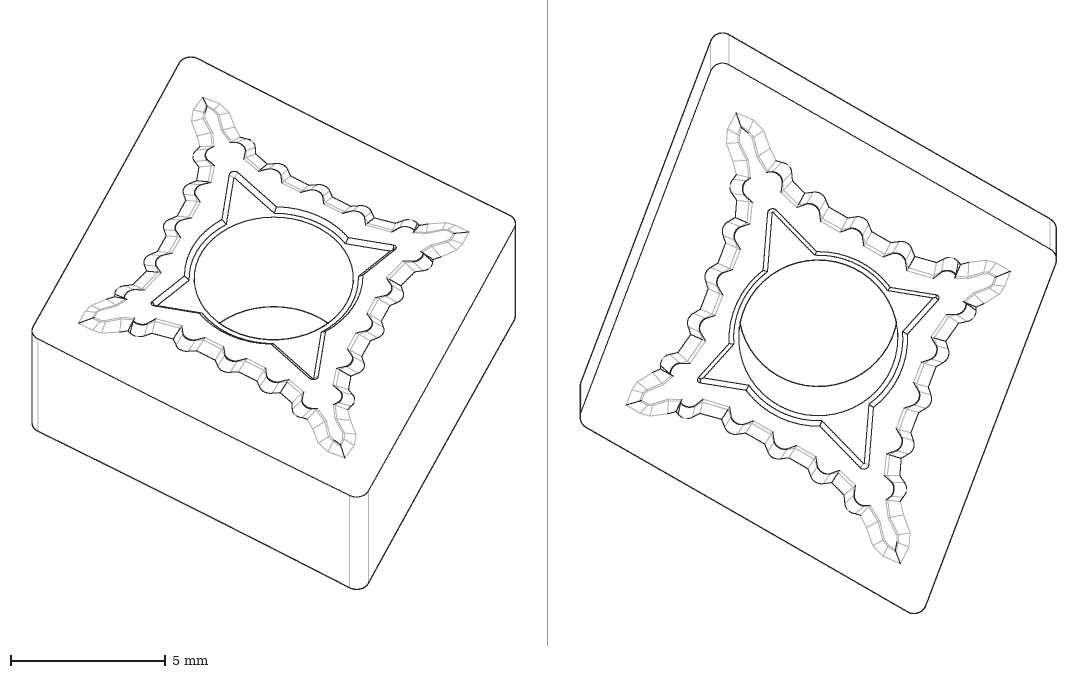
import cadquery as cq
import math


WIDTH = 12.7
LENGTH = 14.98
RAKE = 10.0
THICKNESS = 4.85
BORE_DIAMETER = 5.15

CORNER_DROP = 0.072
DISH_DEPTH = 0.1
DISH_OVERSIZE = 1.2

WALL_RUN = 0.4
LIP_DROP = 0.01
LIP_RUN = 0.1
ARM_LIP_RUN = 0.06
BUMP_LIP_RUN = 0.01
BUMP_REACH = 0.25
BUMP_SIDE_REACH = 0.16
BUMP_HALF_CHORD = 0.24
BUMP_HALF_FOOT = 0.45
BUMP_PITCH = 1.62

MIDDLE_BUMP = (-4.16, 0.73)
ACUTE_BUMP = (-4.43, 3.72, 16.0)
OBTUSE_BUMP = (-4.48, -2.38, -19.0)

ACUTE_TIP = (7.92, 7.49)
OBTUSE_TIP = (6.6, 6.14)

ACUTE_ARM = [
    ((-5.17, 5.47), (-4.8, 5.42)),
    ((-5.03, 5.0), (-4.7, 5.18)),
    ((-4.63, 4.52), (-4.24, 4.73)),
    ((-4.37, 4.15), (-3.97, 4.22)),
]
OBTUSE_ARM = [
    ((-4.43, -2.74), (-4.03, -2.79)),
    ((-4.63, -2.94), (-4.22, -3.15)),
    ((-4.99, -3.4), (-4.61, -3.5)),
    ((-5.06, -3.72), (-4.7, -3.65)),
]

RECESS_DEPTH = 0.15
RECESS_WALL_ANGLE = 45.0
RECESS_RADIUS = 2.89
ACUTE_POINT = (4.81, 24.0, 0.16)
OBTUSE_POINT = (4.25, 29.0, 0.1)

ACUTE_DIRECTION = 90.0 + (90.0 - RAKE) / 2
OBTUSE_DIRECTION = ACUTE_DIRECTION + 90.0
RAKE_TANGENT = math.tan(math.radians(RAKE))
HALF_SIDE = WIDTH / 2 / math.cos(math.radians(RAKE))
SKEW = WIDTH / 2 * RAKE_TANGENT
NOSE_RADIUS = (HALF_SIDE + SKEW - LENGTH / 2) / (RAKE_TANGENT + 1 / math.cos(math.radians(RAKE)) - 1)
HALF_NOSE_ANGLE = math.radians((90.0 - RAKE) / 2)
ACUTE_REACH = 2 * HALF_SIDE * math.cos(HALF_NOSE_ANGLE)
OBTUSE_REACH = 2 * HALF_SIDE * math.sin(HALF_NOSE_ANGLE)
TOP = THICKNESS / 2
CORNER_TOP = TOP - CORNER_DROP
SHOULDER = TOP - LIP_DROP
WALL_BOTTOM = CORNER_TOP - DISH_DEPTH - LIP_DROP


def body():
    half = WIDTH / 2
    corners = [
        (-half, HALF_SIDE + SKEW),
        (-half, SKEW - HALF_SIDE),
        (half, -HALF_SIDE - SKEW),
        (half, HALF_SIDE - SKEW),
    ]
    blank = cq.Workplane("XY").workplane(offset=-CORNER_TOP).polyline(corners).close()
    return blank.extrude(2 * CORNER_TOP).edges("|Z").fillet(NOSE_RADIUS)


def dish_height(x, y):
    """Height of the dished face; it reaches CORNER_TOP at all four sharp corners."""
    angle = math.radians(ACUTE_DIRECTION)
    along_acute = (x * math.cos(angle) + y * math.sin(angle)) / ACUTE_REACH
    along_obtuse = (y * math.cos(angle) - x * math.sin(angle)) / OBTUSE_REACH
    return CORNER_TOP - DISH_DEPTH * (1 - along_acute**2 - along_obtuse**2)


def dish():
    """Round shallow bowl of material to remove, squeezed to the proportions of the diagonals."""
    def bowl_point(share):
        return (share * ACUTE_REACH, CORNER_TOP - DISH_DEPTH * (1 - share**2))

    rim = bowl_point(DISH_OVERSIZE)
    bowl = (
        cq.Workplane("XZ").moveTo(*bowl_point(0))
        .threePointArc(bowl_point(DISH_OVERSIZE / 2), rim)
        .lineTo(0, rim[1]).close()
        .revolve(360, (0, 0), (0, 1))
    )
    squeeze = cq.Matrix([[1, 0, 0, 0], [0, OBTUSE_REACH / ACUTE_REACH, 0, 0], [0, 0, 1, 0]])
    oval_bowl = cq.Workplane(bowl.val().transformGeometry(squeeze))
    return oval_bowl.rotate((0, 0, 0), (0, 0, 1), ACUTE_DIRECTION)


def wall_point(foot, shoulder, lip_run):
    """Points at the wall bottom, shoulder and plateau levels; the foot lies on the dish."""
    dx = foot[0] - shoulder[0]
    dy = foot[1] - shoulder[1]
    down = (SHOULDER - WALL_BOTTOM) / (SHOULDER - dish_height(*foot))
    up = -lip_run / math.hypot(dx, dy)
    return [(shoulder[0] + k * dx, shoulder[1] + k * dy) for k in (down, 0, up)]


def tip_point(distances, direction):
    cosine = math.cos(math.radians(direction))
    sine = math.sin(math.radians(direction))
    foot, shoulder = [(distance * cosine, distance * sine) for distance in distances]
    return wall_point(foot, shoulder, ARM_LIP_RUN)


def bump(x, y, tilt):
    """Wall pieces of one bump: a foot point, the three points of its arc, a foot point."""
    inward = (math.cos(math.radians(tilt)), math.sin(math.radians(tilt)))

    def place(depth, along, lip_run):
        foot = (x + depth * inward[0] + along * inward[1], y + depth * inward[1] - along * inward[0])
        shoulder = (foot[0] + WALL_RUN * inward[0], foot[1] + WALL_RUN * inward[1])
        return wall_point(foot, shoulder, lip_run)

    arc_depth = BUMP_REACH - BUMP_SIDE_REACH
    arc = [
        place(arc_depth, -BUMP_HALF_CHORD, BUMP_LIP_RUN),
        place(0, 0, BUMP_LIP_RUN),
        place(arc_depth, BUMP_HALF_CHORD, BUMP_LIP_RUN),
    ]
    foot_in = place(BUMP_REACH, -BUMP_HALF_FOOT, LIP_RUN)
    foot_out = place(BUMP_REACH, BUMP_HALF_FOOT, LIP_RUN)
    return [[foot_in], arc, [foot_out]]


def left_wall():
    """Stretches of the left wall, from the acute tip down to the obtuse tip.

    A stretch of three points is an arc; one of two points is a straight line.
    """
    pieces = [[tip_point(ACUTE_TIP, ACUTE_DIRECTION)]]
    pieces += [[wall_point(foot, shoulder, ARM_LIP_RUN)] for foot, shoulder in ACUTE_ARM]
    pieces += bump(*ACUTE_BUMP)[1:]
    for step in (1, 0, -1):
        pieces += bump(MIDDLE_BUMP[0], MIDDLE_BUMP[1] + step * BUMP_PITCH, 0)
    pieces += bump(*OBTUSE_BUMP)[:-1]
    pieces += [[wall_point(foot, shoulder, ARM_LIP_RUN)] for foot, shoulder in OBTUSE_ARM]
    pieces.append([tip_point(OBTUSE_TIP, OBTUSE_DIRECTION)])

    stretches = []
    for before, after in zip(pieces, pieces[1:]):
        stretches.append([before[-1], after[0]])
        if len(after) == 3:
            stretches.append(after)
    return stretches


def mirrored_point(point):
    """The point mirrored in the diagonal through the acute noses."""
    cosine = math.cos(math.radians(2 * ACUTE_DIRECTION))
    sine = math.sin(math.radians(2 * ACUTE_DIRECTION))
    return (cosine * point[0] + sine * point[1], sine * point[0] - cosine * point[1])


def plateau_outline(level, z):
    """Closed outline of the plateau at one of the three wall levels."""
    left = [[point[level] for point in stretch] for stretch in left_wall()]
    upper = [[mirrored_point(point) for point in reversed(stretch)] for stretch in reversed(left)]
    half = upper + left
    other_half = [[(-x, -y) for x, y in stretch] for stretch in half]
    edges = []
    for stretch in half + other_half:
        points = [cq.Vector(x, y, z) for x, y in stretch]
        if len(points) == 3:
            edges.append(cq.Edge.makeThreePointArc(*points))
        else:
            edges.append(cq.Edge.makeLine(*points))
    return cq.Wire.assembleEdges(edges)


def plateau():
    bottom = plateau_outline(0, WALL_BOTTOM)
    shoulder = plateau_outline(1, SHOULDER)
    crown = plateau_outline(2, TOP)
    return cq.Workplane(cq.Solid.makeLoft([bottom, shoulder, crown], True))


def recess_point(reach, half_angle, tip_radius, direction):
    """Pointed arm of the recess: a kite from the axis to the rounded tip, narrowing downwards."""
    half_width = reach * math.tan(math.radians(half_angle)) / 2
    outline = [(0, 0), (reach / 2, -half_width), (reach, 0), (reach / 2, half_width)]
    straight = cq.Workplane("XY").workplane(offset=TOP - RECESS_DEPTH).polyline(outline).close()
    straight = straight.extrude(RECESS_DEPTH).edges("|Z and >X").fillet(tip_radius)
    rim = straight.faces(">Z").wires().toPending()
    tapered = rim.extrude(-RECESS_DEPTH, taper=RECESS_WALL_ANGLE, combine=False)
    return tapered.rotate((0, 0, 0), (0, 0, 1), direction)


def recess():
    star = (
        cq.Workplane("XY").workplane(offset=TOP).circle(RECESS_RADIUS)
        .extrude(-RECESS_DEPTH, taper=RECESS_WALL_ANGLE)
    )
    for turn in (0, 180):
        star = star.union(recess_point(*ACUTE_POINT, ACUTE_DIRECTION + turn))
        star = star.union(recess_point(*OBTUSE_POINT, OBTUSE_DIRECTION + turn))
    return star


def both_faces(shape):
    return [shape, shape.mirror("XY")]


insert = body()
for tool in both_faces(dish()):
    insert = insert.cut(tool)
for boss in both_faces(plateau()):
    insert = insert.union(boss)
for tool in both_faces(recess()):
    insert = insert.cut(tool)
result = insert.cut(cq.Workplane("XY").circle(BORE_DIAMETER / 2).extrude(THICKNESS, both=True))